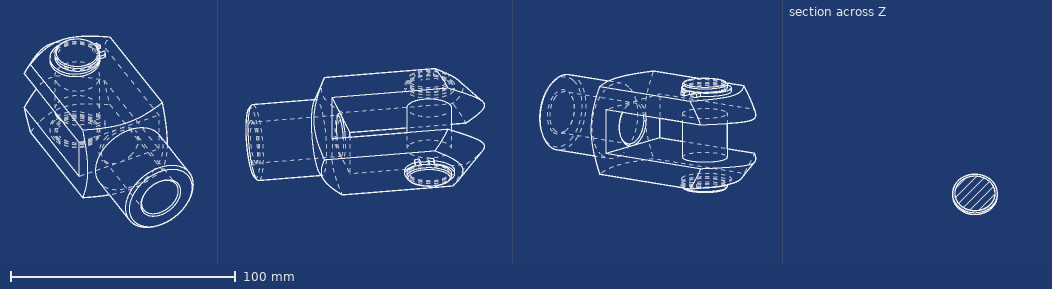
import cadquery as cq
import math

body_width = 40.0
half_width = body_width / 2
slot_width = 20.0
tip_x = -25.0
slot_end_x = 40.0
shoulder_x = 50.0
end_x = tip_x + 105.0

shank_radius = 34.0 / 2
shank_chamfer = 1.3
nose_angle = 45.0
shoulder_angle = 30.0
bore_radius = 18.4 / 2
bore_mouth_radius = 20.0 / 2
bore_chamfer = bore_mouth_radius - bore_radius

pin_radius = 20.0 / 2
pin_length = 48.0
pin_chamfer = 0.6
groove_radius = 18.0 / 2
groove_cut_radius = 11.0
groove_width = 1.7

ring_thickness = 1.5
ring_radius = 11.1
ring_offset_y = pin_radius - ring_radius
lug_inner_x = 2.0
lug_outer_x = 4.3
lug_tip_y = 12.8
lug_shoulder_y = 11.9


def turned_envelope():
    """Solid of revolution about X that shapes the nose, shoulder and shank."""
    nose_radius = slot_width / 2
    corner_radius = body_width
    nose_length = (corner_radius - nose_radius) * math.tan(math.radians(nose_angle))
    shoulder_length = (corner_radius - shank_radius) * math.tan(math.radians(shoulder_angle))
    return (
        cq.Workplane("XY")
        .moveTo(tip_x, 0)
        .lineTo(tip_x, nose_radius)
        .lineTo(tip_x + nose_length, corner_radius)
        .lineTo(shoulder_x - shoulder_length, corner_radius)
        .lineTo(shoulder_x, shank_radius)
        .lineTo(end_x - shank_chamfer, shank_radius)
        .lineTo(end_x, shank_radius - shank_chamfer)
        .lineTo(end_x, 0)
        .close()
        .revolve(360, (0, 0, 0), (1, 0, 0))
    )


def make_bore():
    """Cutter for the shank bore, chamfered at both of its mouths."""
    return (
        cq.Workplane("XY")
        .moveTo(slot_end_x, 0)
        .lineTo(slot_end_x, bore_mouth_radius)
        .lineTo(slot_end_x + bore_chamfer, bore_radius)
        .lineTo(end_x - bore_chamfer, bore_radius)
        .lineTo(end_x, bore_mouth_radius)
        .lineTo(end_x, 0)
        .close()
        .revolve(360, (0, 0, 0), (1, 0, 0))
    )


def make_fork():
    """Square bar trimmed by the turned envelope, then slotted and bored."""
    bar = cq.Workplane("YZ", origin=(tip_x, 0, 0)).rect(body_width, body_width).extrude(end_x - tip_x)
    slot = cq.Workplane("XY").box(2 * slot_end_x, body_width, slot_width)
    return bar.intersect(turned_envelope()).cut(slot).cut(make_bore())


def make_pin():
    """Chamfered pin with a groove just outside each fork face."""
    pin = cq.Workplane("XY").circle(pin_radius).extrude(pin_length / 2, both=True)
    pin = pin.faces("<Z or >Z").chamfer(pin_chamfer)
    groove = (
        cq.Workplane("XY", origin=(0, 0, half_width))
        .circle(groove_cut_radius)
        .circle(groove_radius)
        .extrude(groove_width)
    )
    return pin.cut(groove).cut(groove.mirror("XY"))


def make_ring():
    """Retaining ring on the upper fork face, open between its lugs."""
    plane = cq.Workplane("XY", origin=(0, 0, half_width))
    ring = plane.center(0, ring_offset_y).circle(ring_radius).extrude(ring_thickness)
    lug = (
        cq.Workplane("XY", origin=(0, 0, half_width))
        .moveTo(lug_inner_x, 0)
        .lineTo(lug_inner_x, lug_tip_y)
        .lineTo(lug_outer_x, lug_shoulder_y)
        .lineTo(lug_outer_x, 0)
        .close()
        .extrude(ring_thickness)
    )
    gap = (
        cq.Workplane("XY", origin=(0, lug_tip_y / 2, half_width))
        .rect(2 * lug_inner_x, lug_tip_y)
        .extrude(ring_thickness)
    )
    inside = cq.Workplane("XY", origin=(0, 0, half_width)).circle(groove_radius).extrude(ring_thickness)
    return ring.union(lug).union(lug.mirror("YZ")).cut(gap).cut(inside)


upper_ring = make_ring()
result = make_fork().union(make_pin()).union(upper_ring).union(upper_ring.mirror("XY"))